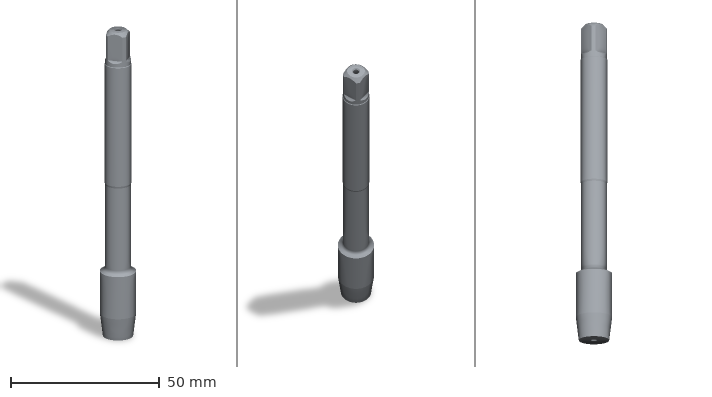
import cadquery as cq
import math

total_length = 110.0
lead_length = 8.0
cutting_length = 22.9
collar_rim = 23.2
neck_end = 54.5
shank_start = 55.1
shank_end = 97.8
square_bottom = 100.0

tip_diameter = 10.2
head_diameter = 12.2
neck_diameter = 8.7
shank_diameter = 9.0
square_corner_diameter = 8.7
end_face_diameter = 5.9
coolant_diameter = 2.0
countersink_diameter = 2.8

across_flats = 7.0

shoulder_angle = math.radians(30)
neck_fillet = 1.1

tip_radius = tip_diameter / 2
head_radius = head_diameter / 2
neck_radius = neck_diameter / 2
shank_radius = shank_diameter / 2
corner_radius = square_corner_diameter / 2
end_face_radius = end_face_diameter / 2
coolant_radius = coolant_diameter / 2
countersink_radius = countersink_diameter / 2
half_flats = across_flats / 2


def revolve_profile(profile):
    """Turn a closed (radius, height) profile about the tool axis."""
    return profile.close().revolve(360, (0, 0, 0), (0, 1, 0))


def make_cutting_head():
    """Plain threading envelope with a tapered lead and a coolant bore."""
    profile = (
        cq.Workplane("XZ")
        .moveTo(coolant_radius, 0)
        .lineTo(tip_radius, 0)
        .lineTo(head_radius, lead_length)
        .lineTo(head_radius, cutting_length)
        .lineTo(coolant_radius, cutting_length)
    )
    return revolve_profile(profile)


def make_turned_shank():
    """Collar, flare, neck, shank and chamfered end, bored for coolant."""
    end_chamfer = corner_radius - end_face_radius
    countersink_depth = countersink_radius - coolant_radius
    end_step = shank_radius - corner_radius

    fillet_center_radius = neck_radius + neck_fillet
    shoulder_radius = fillet_center_radius - neck_fillet * math.sin(shoulder_angle)
    shoulder_top = collar_rim + (head_radius - shoulder_radius) * math.tan(shoulder_angle)
    fillet_top = shoulder_top + neck_fillet * math.cos(shoulder_angle)
    middle_angle = (math.pi / 2 - shoulder_angle) / 2
    fillet_middle = (
        fillet_center_radius - neck_fillet * math.cos(middle_angle),
        fillet_top - neck_fillet * math.sin(middle_angle),
    )

    profile = (
        cq.Workplane("XZ")
        .moveTo(coolant_radius, cutting_length)
        .lineTo(head_radius, cutting_length)
        .lineTo(head_radius, collar_rim)
        .lineTo(shoulder_radius, shoulder_top)
        .threePointArc(fillet_middle, (neck_radius, fillet_top))
        .lineTo(neck_radius, neck_end)
        .lineTo(shank_radius, shank_start)
        .lineTo(shank_radius, shank_end)
        .lineTo(corner_radius, shank_end + end_step)
        .lineTo(corner_radius, total_length - end_chamfer)
        .lineTo(end_face_radius, total_length)
        .lineTo(countersink_radius, total_length)
        .lineTo(coolant_radius, total_length - countersink_depth)
    )
    return revolve_profile(profile)


def make_flat_cutter():
    """Prism that mills the +X flat, with a 45 degree run-out at its lower end."""
    reach = shank_diameter
    return (
        cq.Workplane("XZ")
        .moveTo(half_flats, square_bottom)
        .lineTo(half_flats + reach, square_bottom - reach)
        .lineTo(half_flats + reach, total_length)
        .lineTo(half_flats, total_length)
        .close()
        .extrude(shank_radius, both=True)
    )


def make_shank():
    """Turned shank with four flats forming the driving square."""
    shank = make_turned_shank()
    flat_count = 4
    for index in range(flat_count):
        angle = index * 360 / flat_count
        shank = shank.cut(make_flat_cutter().rotate((0, 0, 0), (0, 0, 1), angle))
    return shank


cutting_head = make_cutting_head()
shank = make_shank()

result = cq.Compound.makeCompound([cutting_head.val(), shank.val()])